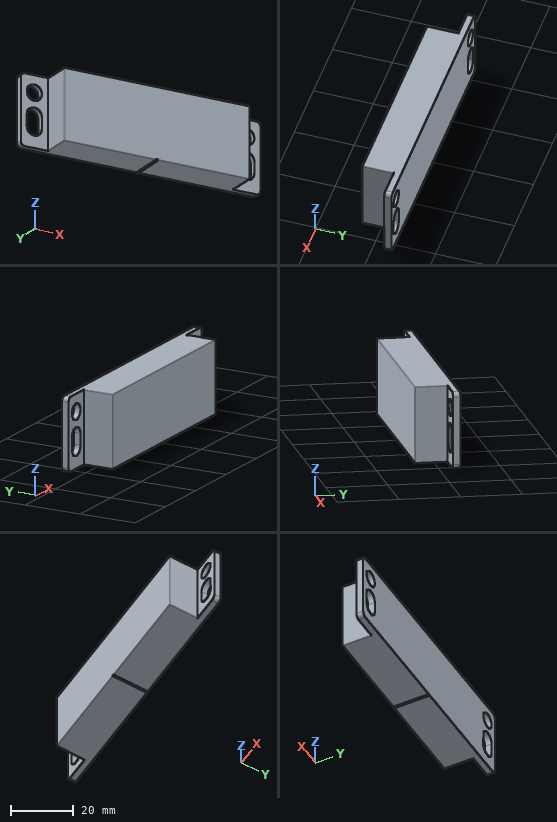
import cadquery as cq

plate_length = 88.0
plate_thickness = 2.5
overall_height = 25.5
corner_radius = 1.5

ridge_height = 0.4
ridge_width = 0.5

height = overall_height - ridge_height
body_length = 68.0
overall_depth = 13.0
edge_radius = 0.2

hole_diameter = 5.5
hole_spacing = 78.0
hole_height = 6.5
slot_length = 9.5
slot_height = -3.4


def make_plate():
    """Rounded plate with its back face at Y = 0."""
    plate = cq.Workplane("XY").box(
        plate_length, plate_thickness, height, centered=(True, False, True)
    )
    plate = plate.translate((0, -plate_thickness, 0))
    return plate.edges("|Y").fillet(corner_radius)


def make_body():
    """Block in front of the plate, rounded along its front and long corners."""
    body_depth = overall_depth - plate_thickness
    body = cq.Workplane("XY").box(
        body_length, body_depth, height, centered=(True, False, True)
    )
    body = body.translate((0, -overall_depth, 0))
    return body.edges("|Y or <Y").fillet(edge_radius)


def make_ridge():
    """Triangular ridge running the full depth, rooted in the bottom face."""
    bottom = -height / 2
    return (
        cq.Workplane("XZ")
        .moveTo(-ridge_width / 2, bottom)
        .lineTo(0, bottom - ridge_height)
        .lineTo(ridge_width / 2, bottom)
        .lineTo(ridge_width / 2, bottom + edge_radius)
        .lineTo(-ridge_width / 2, bottom + edge_radius)
        .close()
        .extrude(overall_depth)
    )


def make_ear_openings():
    """A round hole above a vertical slot, through each ear."""
    ear_x = hole_spacing / 2
    holes = (
        cq.Workplane("XZ")
        .pushPoints([(-ear_x, hole_height), (ear_x, hole_height)])
        .circle(hole_diameter / 2)
        .extrude(plate_thickness)
    )
    slots = (
        cq.Workplane("XZ")
        .pushPoints([(-ear_x, slot_height), (ear_x, slot_height)])
        .slot2D(slot_length, hole_diameter, 90)
        .extrude(plate_thickness)
    )
    return holes.union(slots)


result = make_plate().union(make_body()).union(make_ridge()).cut(make_ear_openings())